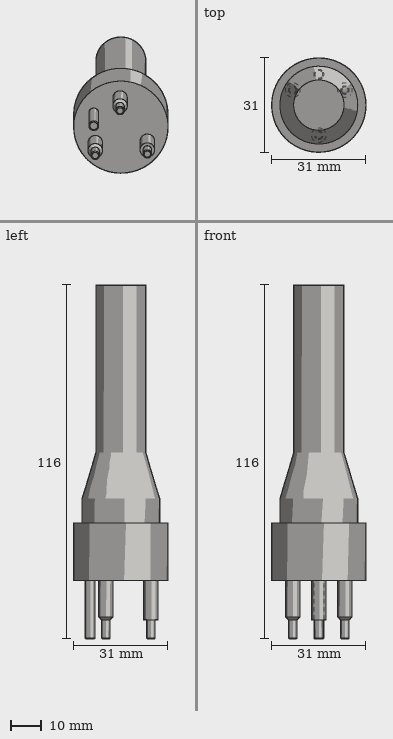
import cadquery as cq
import math

total_height = 116.0
base_bottom = 19.1
base_top = 38.0
collar_top = 46.0
taper_top = 61.1

base_diameter = 31.0
collar_diameter = 25.5
handle_diameter = 16.5

contact_pin_offset = 9.9
contact_pin_angles = (30, 150, 270)
tapered_pin_angles = (30, 150)
shank_diameter = 4.8
tip_diameter = 2.8
tip_length = 6.3
shoulder_taper_height = 1.0

plain_pin_offset = 10.1
plain_pin_angle = 90
plain_pin_diameter = 3.2

end_chamfer = 0.3


def make_body():
    """Base, collar, tapered neck and handle, turned about Z."""
    base_radius = base_diameter / 2
    collar_radius = collar_diameter / 2
    handle_radius = handle_diameter / 2
    profile = [
        (0, base_bottom),
        (base_radius, base_bottom),
        (base_radius, base_top),
        (collar_radius, base_top),
        (collar_radius, collar_top),
        (handle_radius, taper_top),
        (handle_radius, total_height),
        (0, total_height),
    ]
    return cq.Workplane("XZ").polyline(profile).close().revolve(360, (0, 0), (0, 1))


def make_rod(diameter):
    """Plain rod from the pin tips up to the base, with a chamfered free end."""
    rod = cq.Workplane("XY").circle(diameter / 2).extrude(base_bottom)
    return rod.faces("<Z").chamfer(end_chamfer)


def make_contact_pin(tapered):
    """Thin tip below a thicker shank whose shoulder is flat or tapered."""
    shank_length = base_bottom - tip_length
    shank = cq.Workplane("XY").circle(shank_diameter / 2).extrude(shank_length)
    if tapered:
        shoulder_width = (shank_diameter - tip_diameter) / 2
        shank = shank.faces("<Z").chamfer(shoulder_taper_height, shoulder_width)
    return make_rod(tip_diameter).union(shank.translate((0, 0, tip_length)))


def place_pin(pin, offset, angle):
    """Move a pin from the Z axis out by offset in the direction of angle."""
    x = offset * math.cos(math.radians(angle))
    y = offset * math.sin(math.radians(angle))
    return pin.translate((x, y, 0))


result = make_body()

for angle in contact_pin_angles:
    contact_pin = make_contact_pin(angle in tapered_pin_angles)
    result = result.union(place_pin(contact_pin, contact_pin_offset, angle))

plain_pin = make_rod(plain_pin_diameter)
result = result.union(place_pin(plain_pin, plain_pin_offset, plain_pin_angle))